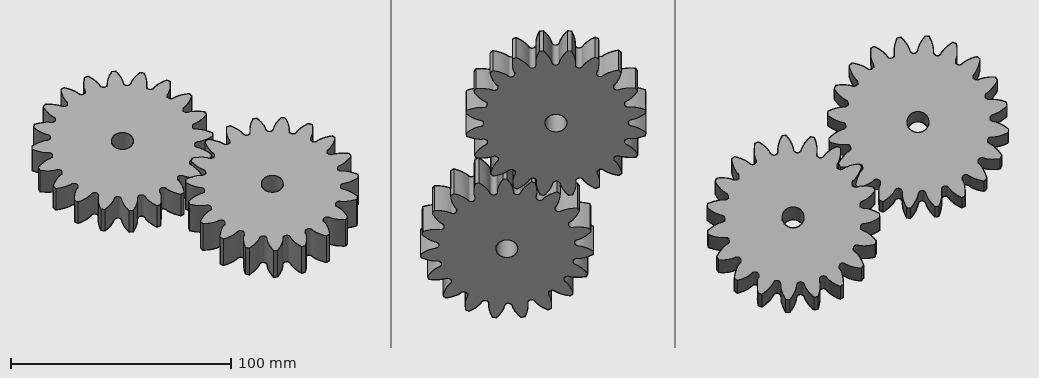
import cadquery as cq
import math

MODULE = 3.75
PRESSURE_ANGLE = math.radians(25)
DEDENDUM_FACTOR = 1.25
BACKLASH = 0.03
BORE_DIAMETER = 10.0
DRIVER_TEETH = 20
DRIVEN_TEETH = 19
DRIVER_THICKNESS = 15.3
DRIVEN_THICKNESS = 19.0
FLANK_SPANS = 8
BISECTION_STEPS = 40

CENTER_DISTANCE = MODULE * (DRIVER_TEETH + DRIVEN_TEETH) / 2


def polar(radius, angle):
    """Point at a radius and an angle about the gear axis."""
    return (radius * math.cos(angle), radius * math.sin(angle))


def involute(pressure_angle):
    """Polar angle swept by an involute where it has this pressure angle."""
    return math.tan(pressure_angle) - pressure_angle


def flank_point(teeth, roll):
    """Radius and half tooth angle where an involute has unrolled by an angle."""
    pitch_radius = MODULE * teeth / 2
    base_radius = pitch_radius * math.cos(PRESSURE_ANGLE)
    half_tooth = math.pi / (2 * teeth) - BACKLASH / (2 * pitch_radius)
    half_angle = half_tooth + involute(PRESSURE_ANGLE) - involute(math.atan(roll))
    return base_radius * math.hypot(1, roll), half_angle


def space_bottom(teeth, roll):
    """Lowest radius of the arc across a tooth space that is tangent to both flanks at a roll angle."""
    radius, half_angle = flank_point(teeth, roll)
    half_space = math.pi / teeth - half_angle
    flank_slope = half_space + math.atan(roll)
    half_width = radius * math.sin(half_space)
    arc_center = radius * math.cos(half_space) + half_width * math.tan(flank_slope)
    return arc_center - half_width / math.cos(flank_slope)


def flank_points(teeth):
    """Points along one flank, from the tangent root arc to the tip."""
    base_ratio = teeth / 2 * math.cos(PRESSURE_ANGLE)
    tip_roll = math.sqrt(((teeth / 2 + 1) / base_ratio) ** 2 - 1)
    root_radius = MODULE * (teeth / 2 - DEDENDUM_FACTOR)
    start_roll = 0
    upper_roll = tip_roll
    for _ in range(BISECTION_STEPS):
        trial_roll = (start_roll + upper_roll) / 2
        if space_bottom(teeth, trial_roll) < root_radius:
            start_roll = trial_roll
        else:
            upper_roll = trial_roll
    roll_step = (tip_roll - start_roll) / FLANK_SPANS
    return [flank_point(teeth, start_roll + step * roll_step) for step in range(FLANK_SPANS + 1)]


def gear_outline(teeth, first_tooth_angle):
    """Closed outline of involute flanks joined by tip arcs and rounded tooth spaces."""
    flank = flank_points(teeth)
    foot_radius, foot_angle = flank[0]
    tip_radius, _ = flank[-1]
    root_radius = MODULE * (teeth / 2 - DEDENDUM_FACTOR)
    pitch_angle = 2 * math.pi / teeth
    outline = cq.Workplane("XY").moveTo(*polar(foot_radius, first_tooth_angle - foot_angle))
    for tooth in range(teeth):
        middle = first_tooth_angle + tooth * pitch_angle
        rising = [polar(radius, middle - angle) for radius, angle in flank]
        falling = [polar(radius, middle + angle) for radius, angle in reversed(flank)]
        root_middle = polar(root_radius, middle + pitch_angle / 2)
        next_foot = polar(foot_radius, middle + pitch_angle - foot_angle)
        outline = outline.spline(rising[1:], includeCurrent=True)
        outline = outline.threePointArc(polar(tip_radius, middle), falling[0])
        outline = outline.spline(falling[1:], includeCurrent=True)
        outline = outline.threePointArc(root_middle, next_foot)
    return outline.close()


def spur_gear(teeth, thickness, first_tooth_angle):
    """Bored spur gear on the Z axis, centred on the XY plane."""
    blank = gear_outline(teeth, first_tooth_angle).extrude(thickness)
    bore = cq.Workplane("XY").circle(BORE_DIAMETER / 2).extrude(thickness)
    return blank.cut(bore).translate((0, 0, -thickness / 2))


driver_gear = spur_gear(DRIVER_TEETH, DRIVER_THICKNESS, math.pi / DRIVER_TEETH)
driven_gear = spur_gear(DRIVEN_TEETH, DRIVEN_THICKNESS, math.pi).translate((CENTER_DISTANCE, 0, 0))

result = cq.Compound.makeCompound([driver_gear.val(), driven_gear.val()])